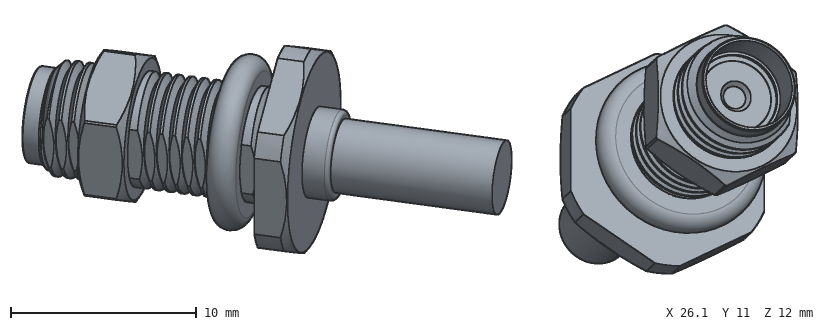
import cadquery as cq
import math


INCH = 25.4
thread_pitch = INCH / 36
thread_radius = INCH / 8
thread_depth = 0.48
thread_half_angle = math.radians(30)
groove_overshoot = 0.06
groove_start_angle = -20
flat_offset = 2.8
thread_lead_in = 0.5

nose_radius = 2.65
nose_length = 0.94
nose_chamfer = 0.06
socket_radius = 2.45
socket_depth = 1.98
seat_bore_radius = 2.28
dielectric_radius = 1.99
seat_step_depth = 0.2
dielectric_step_depth = 0.03
contact_mouth_radius = 0.855
contact_floor_radius = 0.63
contact_depth = 0.25

nut_start = 3.46
nut_thickness = 2.58
nut_across_flats = INCH * 5 / 16
nut_corner_radius = 4.545
nut_face_radius = 3.87
nut_chamfer_length = 0.4

ring_x = 11.51
ring_half_width = 0.8
ring_outer_radius = 4.8

flange_start = 13.76
flange_thickness = 1.85
flange_across_flats = 11.0
flange_corner_radius = 5.98
flange_back_radius = 5.46
flange_chamfer_length = 0.38

collar_radius = 2.49
collar_length = 1.48
collar_fillet = 0.25
ferrule_radius = 2.03
overall_length = 26.1

seat_overlap = 0.05
seat_radius = thread_radius - seat_overlap

nut_end = nut_start + nut_thickness
flange_end = flange_start + flange_thickness
collar_end = flange_end + collar_length
hexagon_corner_ratio = 2 / math.sqrt(3)

main_groove_start = 6.44
pitches_to_front_groove = 8
pitches_to_rear_groove = 9
front_groove_start = main_groove_start - pitches_to_front_groove * thread_pitch
rear_groove_start = main_groove_start + pitches_to_rear_groove * thread_pitch
thread_grooves = [
    (front_groove_start, 5),
    (main_groove_start, 6.3),
    (rear_groove_start, 2),
]


def revolve_about_x(profile):
    """Solid of revolution of a closed (x, radius) outline about the X axis."""
    return cq.Workplane("XY").polyline(profile).close().revolve(360, (0, 0, 0), (1, 0, 0))


def cylinder(start, end, radius):
    return cq.Workplane("YZ", origin=(start, 0, 0)).circle(radius).extrude(end - start)


def hexagon(start, thickness, across_flats):
    """Hexagonal prism along X with corners on +Z and -Z."""
    return (
        cq.Workplane("YZ", origin=(start, 0, 0))
        .polygon(6, across_flats * hexagon_corner_ratio)
        .extrude(thickness)
        .rotate((0, 0, 0), (1, 0, 0), 90)
    )


def groove_cutter(start, turns):
    """V-shaped helical cutter, built about Z and then turned onto the X axis."""
    outer = thread_radius + groove_overshoot
    root = thread_radius - thread_depth
    half_width = (outer - root) * math.tan(thread_half_angle)
    path = cq.Wire.makeHelix(thread_pitch, turns * thread_pitch, thread_radius)
    cutter = (
        cq.Workplane("XZ")
        .polyline([(root, 0), (outer, -half_width), (outer, half_width)])
        .close()
        .sweep(cq.Workplane(obj=path), isFrenet=True)
    )
    return cutter.rotate((0, 0, 0), (1, 1, 1), 120).translate((start, 0, 0))


def threaded_barrel():
    """Grooved cylinder with a flat along the -Y side and a conical lead-in at the front."""
    barrel = cylinder(0, flange_start, thread_radius)
    for start, turns in thread_grooves:
        barrel = barrel.cut(groove_cutter(start, turns))
    barrel = barrel.rotate((0, 0, 0), (1, 0, 0), groove_start_angle)
    flat_waste = cq.Workplane("XY").box(
        flange_start, thread_radius, 2 * thread_radius, centered=(False, False, True)
    ).translate((0, -flat_offset - thread_radius, 0))
    envelope = revolve_about_x([
        (nose_length, 0),
        (nose_length, thread_radius - thread_lead_in),
        (nose_length + 2 * thread_lead_in, thread_radius + thread_lead_in),
        (flange_start, thread_radius + thread_lead_in),
        (flange_start, 0),
    ])
    return barrel.cut(flat_waste).intersect(envelope)


def nut():
    envelope = revolve_about_x([
        (nut_start, 0),
        (nut_start, nut_face_radius),
        (nut_start + nut_chamfer_length, nut_corner_radius),
        (nut_end - nut_chamfer_length, nut_corner_radius),
        (nut_end, nut_face_radius),
        (nut_end, 0),
    ])
    blank = hexagon(nut_start, nut_thickness, nut_across_flats).intersect(envelope)
    return blank.cut(cylinder(nut_start, nut_end, seat_radius))


def sealing_ring():
    """Ring with flat sides and a half-round rim, seated on the thread crests."""
    front = ring_x - ring_half_width
    back = ring_x + ring_half_width
    rim_start_radius = ring_outer_radius - ring_half_width
    return (
        cq.Workplane("XZ")
        .moveTo(front, seat_radius)
        .lineTo(front, rim_start_radius)
        .threePointArc((ring_x, ring_outer_radius), (back, rim_start_radius))
        .lineTo(back, seat_radius)
        .close()
        .revolve(360, (0, 0, 0), (1, 0, 0))
    )


def flange():
    envelope = revolve_about_x([
        (flange_start, 0),
        (flange_start, flange_corner_radius),
        (flange_end - flange_chamfer_length, flange_corner_radius),
        (flange_end, flange_back_radius),
        (flange_end, 0),
    ])
    return hexagon(flange_start, flange_thickness, flange_across_flats).intersect(envelope)


def rear_end():
    collar = cylinder(flange_end, collar_end, collar_radius).faces(">X").edges().fillet(collar_fillet)
    return collar.union(cylinder(collar_end, overall_length, ferrule_radius))


def socket():
    """Material removed from the front: bore, two shallow steps and the conical contact recess."""
    first_step = socket_depth + seat_step_depth
    second_step = first_step + dielectric_step_depth
    contact_floor = second_step + contact_depth
    return revolve_about_x([
        (0, 0),
        (0, socket_radius),
        (socket_depth, socket_radius),
        (socket_depth, seat_bore_radius),
        (first_step, seat_bore_radius),
        (first_step, dielectric_radius),
        (second_step, dielectric_radius),
        (second_step, contact_mouth_radius),
        (contact_floor, contact_floor_radius),
        (contact_floor, 0),
    ])


nose = cylinder(0, nose_length, nose_radius).faces("<X").chamfer(nose_chamfer)
result = (
    nose.union(threaded_barrel())
    .union(flange())
    .union(rear_end())
    .union(nut())
    .union(sealing_ring())
    .cut(socket())
)